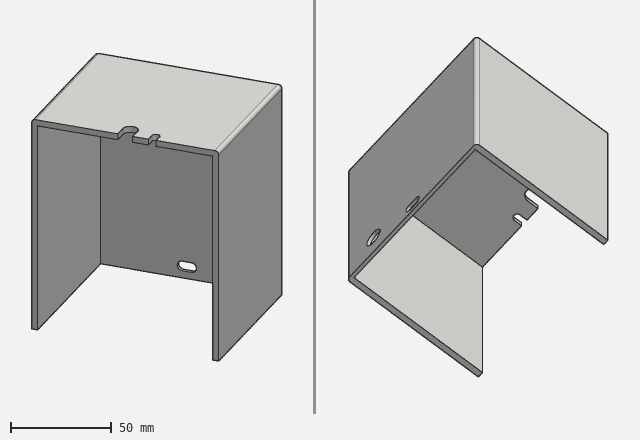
import cadquery as cq

width = 100.0
depth = 85.0
height = 115.0
wall = 3.2
back_wall = 2.0
edge_radius = 2.1

large_notch_x = 0.0
large_notch_width = 7.9
large_notch_length = 10.7
small_notch_x = 14.5
small_notch_width = 4.1
small_notch_length = 6.7

hole_diameter = 10.2
hole_x = 29.4
hole_z = 15.1
slot_length = 10.2
slot_width = 5.2
slot_x = -0.7
slot_z = 6.5

front_y = -depth / 2
back_y = depth / 2


def cover_shell():
    """Cover with two sides, a back and a top; open at the front and bottom."""
    outer = cq.Workplane("XY").box(width, depth, height, centered=(True, True, False))
    outer = outer.edges("(>Y and |Z) or (>Z and |Y) or (>Y and >Z)").fillet(edge_radius)
    cavity = (
        cq.Workplane("XY")
        .box(width - 2 * wall, depth - back_wall, height - wall, centered=(True, False, False))
        .translate((0, front_y, 0))
    )
    return outer.cut(cavity)


def top_notch(center_x, notch_width, notch_length):
    """Round-ended cutter running back from the front edge through the top plate."""
    radius = notch_width / 2
    arc_start_y = front_y + notch_length - radius
    return (
        cq.Workplane("XY", origin=(center_x, 0, height - wall))
        .moveTo(-radius, front_y)
        .lineTo(-radius, arc_start_y)
        .threePointArc((0, arc_start_y + radius), (radius, arc_start_y))
        .lineTo(radius, front_y)
        .close()
        .extrude(wall)
    )


def back_wall_openings():
    """Cutters for the round hole and the horizontal slot through the back wall."""
    back_plane = cq.Workplane("XZ", origin=(0, back_y, 0))
    hole = back_plane.center(hole_x, hole_z).circle(hole_diameter / 2).extrude(back_wall)
    slot = back_plane.center(slot_x, slot_z).slot2D(slot_length, slot_width).extrude(back_wall)
    return hole.union(slot)


result = (
    cover_shell()
    .cut(top_notch(large_notch_x, large_notch_width, large_notch_length))
    .cut(top_notch(small_notch_x, small_notch_width, small_notch_length))
    .cut(back_wall_openings())
)